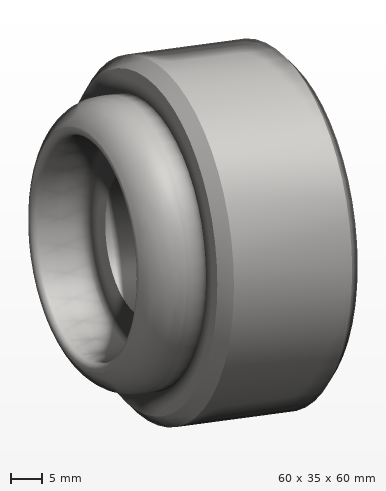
import cadquery as cq
import math

body_radius = 30.0
body_length = 25.0
body_chamfer = 2.0

boss_radius = 24.0
overall_length = 35.0
shoulder_radius = 7.0
lip_round = 1.0

mouth_radius = 18.4
recess_end_radius = 18.05
recess_depth = 10.0
floor_round = 1.0
bore_radius = 24.4 / 2

lip_center_radius = mouth_radius + lip_round
lip_center_y = lip_round - overall_length

shoulder_center_radius = boss_radius - shoulder_radius
center_distance = shoulder_radius - lip_round
blend_angle = math.acos((lip_center_radius - shoulder_center_radius) / center_distance)
shoulder_center_y = lip_center_y + center_distance * math.sin(blend_angle)

floor_y = recess_depth - overall_length
floor_round_y = floor_y - floor_round


def arc_point(center_radius, center_y, radius, angle):
    """Point on an arc, with the angle turning from outward toward the front (-Y)."""
    return (
        center_radius + radius * math.cos(angle),
        center_y - radius * math.sin(angle),
    )


shoulder_mid = arc_point(shoulder_center_radius, shoulder_center_y, shoulder_radius, blend_angle / 2)
blend_point = arc_point(lip_center_radius, lip_center_y, lip_round, blend_angle)
lip_front = (lip_center_radius, -overall_length)
floor_mid = arc_point(recess_end_radius - floor_round, floor_round_y, floor_round, -math.pi / 4)

profile = (
    cq.Workplane("XY")
    .moveTo(bore_radius, 0)
    .lineTo(body_radius - body_chamfer, 0)
    .lineTo(body_radius, -body_chamfer)
    .lineTo(body_radius, body_chamfer - body_length)
    .lineTo(body_radius - body_chamfer, -body_length)
    .lineTo(boss_radius, -body_length)
    .lineTo(boss_radius, shoulder_center_y)
    .threePointArc(shoulder_mid, blend_point)
    .threePointArc(lip_front, (mouth_radius, lip_center_y))
    .lineTo(recess_end_radius, floor_round_y)
    .threePointArc(floor_mid, (recess_end_radius - floor_round, floor_y))
    .lineTo(bore_radius, floor_y)
    .close()
)

result = profile.revolve(360, (0, 0, 0), (0, 1, 0))